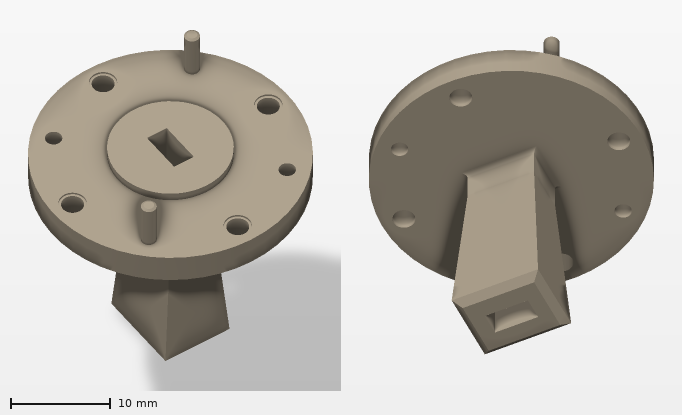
import cadquery as cq
import math

flange_diameter = 28.57
flange_thickness = 3.25
boss_diameter = 12.7
boss_height = 0.95

screw_circle_radius = 11.9
screw_hole_diameter = 2.3
screw_bore_diameter = 2.85
screw_bore_depth = 0.2
dowel_circle_radius = screw_circle_radius
dowel_hole_diameter = 1.75
pin_diameter = 1.6
pin_height = 5.0
pin_chamfer_height = 0.18
pin_chamfer_inset = 0.27

guide_x = 4.8
guide_y = guide_x / 2
neck_wall = 1.285
neck_x = guide_x + 2 * neck_wall
neck_y = guide_y + 2 * neck_wall
neck_length = 3.2
neck_fillet = 0.47
horn_x = 9.57
horn_y = 7.8
horn_length = 17.37
rim_height = 0.75
rim_inset = 0.83

flange_top = flange_thickness
neck_bottom = -neck_length
horn_bottom = neck_bottom - horn_length
rim_bottom = horn_bottom - rim_height
overall_height = flange_top + pin_height - rim_bottom


def on_circle(radius, degrees):
    angle = math.radians(degrees)
    return radius * math.cos(angle), radius * math.sin(angle)


def tapered_block(top_z, top_size, bottom_z, bottom_size):
    """Rectangular block whose four sides slope from one size to another."""
    return (
        cq.Workplane("XY", origin=(0, 0, top_z))
        .rect(*top_size)
        .workplane(offset=bottom_z - top_z)
        .rect(*bottom_size)
        .loft(ruled=True)
    )


def make_flange():
    flange = cq.Workplane("XY").circle(flange_diameter / 2).extrude(flange_thickness)
    boss = (
        cq.Workplane("XY", origin=(0, 0, flange_top))
        .circle(boss_diameter / 2)
        .extrude(boss_height)
    )
    return flange.union(boss)


def add_neck(body):
    """Join the straight neck and round the corner where it meets the flange."""
    neck = cq.Workplane("XY").rect(neck_x, neck_y).extrude(-neck_length)
    junction = cq.selectors.BoxSelector(
        (-neck_x, -neck_y, -neck_fillet / 2),
        (neck_x, neck_y, neck_fillet / 2),
    )
    return body.union(neck).edges(junction).edges("%LINE").fillet(neck_fillet)


def make_horn():
    mouth = (horn_x, horn_y)
    rim = (horn_x - 2 * rim_inset, horn_y - 2 * rim_inset)
    flare = tapered_block(neck_bottom, (neck_x, neck_y), horn_bottom, mouth)
    return flare.union(tapered_block(horn_bottom, mouth, rim_bottom, rim))


def make_pin(center):
    """Dowel pin set through the flange, with a chamfered tip."""
    return (
        cq.Workplane("XY")
        .center(*center)
        .circle(pin_diameter / 2)
        .extrude(flange_thickness + pin_height)
        .faces(">Z")
        .edges()
        .chamfer(pin_chamfer_height, pin_chamfer_inset)
    )


def cut_screw_holes(body):
    centers = [on_circle(screw_circle_radius, degrees) for degrees in (0, 90, 180, 270)]
    return (
        body.copyWorkplane(cq.Workplane("XY", origin=(0, 0, flange_top)))
        .pushPoints(centers)
        .cboreHole(
            screw_hole_diameter,
            screw_bore_diameter,
            screw_bore_depth,
            flange_thickness,
        )
    )


def cut_dowel_holes(body):
    centers = [on_circle(dowel_circle_radius, degrees) for degrees in (45, 225)]
    holes = (
        cq.Workplane("XY")
        .pushPoints(centers)
        .circle(dowel_hole_diameter / 2)
        .extrude(flange_thickness)
    )
    return body.cut(holes)


result = add_neck(make_flange()).union(make_horn())
result = cut_dowel_holes(cut_screw_holes(result))
for pin_angle in (135, 315):
    result = result.union(make_pin(on_circle(dowel_circle_radius, pin_angle)))

channel = (
    cq.Workplane("XY", origin=(0, 0, rim_bottom))
    .rect(guide_x, guide_y)
    .extrude(overall_height)
)
result = result.cut(channel)